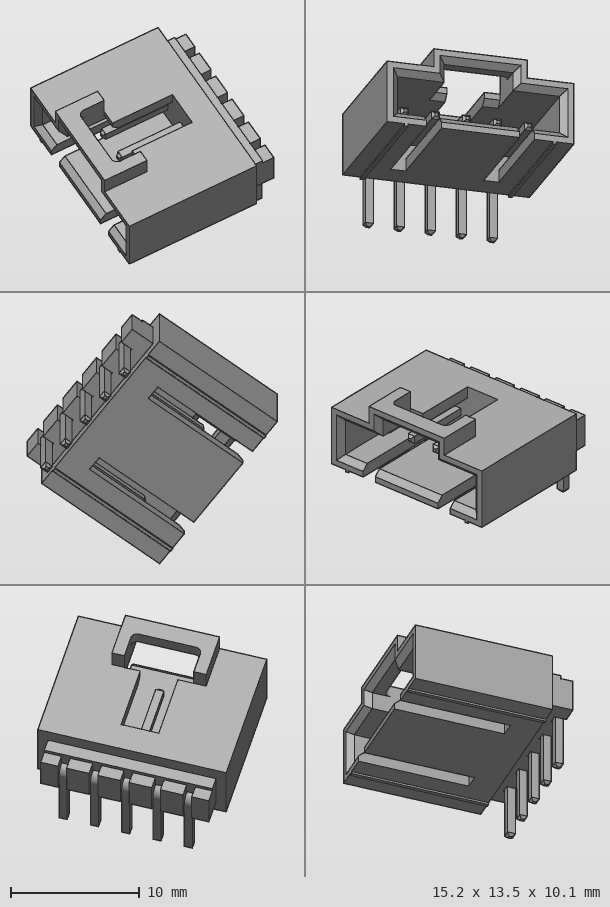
import cadquery as cq


body_width = 15.25
body_depth = 11.47
body_height = 5.1
wall = 1.0
lead_in = wall / 2
cavity_depth = 9.21

hood_width = 7.62
hood_depth = 3.81
hood_top = 6.6
window_front = 1.48
window_corner_radius = 0.5
roof_slot_width = 3.05

floor_slot_x = 3.8
floor_slot_width = 1.24
rail_x = 6.05
rail_width = 0.27
rail_height = 0.18

block_width = 13.6
block_back = 13.5
block_step_y = 12.49
block_top = 4.03
block_step_top = 3.75
notch_width = 0.7

pin_count = 5
pin_pitch = 2.53
pin_size = 0.65
pin_tip_y = 3.39
pin_bottom = -3.49
pin_row_z = 2.56
pin_leg_y = 12.92
tip_inset = 0.2
tip_length = 0.23
bend_radius = 0.76

pin_positions = [(i - (pin_count - 1) / 2) * pin_pitch for i in range(pin_count)]


def block(width, y_range, z_range, x=0.0):
    """Box of the given width centred on x, spanning the Y and Z ranges."""
    (y0, y1), (z0, z1) = y_range, z_range
    return cq.Workplane("XY").box(width, y1 - y0, z1 - z0, centered=(True, False, False)).translate((x, y0, z0))


def opening(margin):
    """Stepped outline of the mating opening, set in by margin from the outside of the shell."""
    side = body_width / 2 - margin
    hood_side = hood_width / 2 - margin
    roof = body_height - margin
    return [
        (-side, margin),
        (side, margin),
        (side, roof),
        (hood_side, roof),
        (hood_side, hood_top - margin),
        (-hood_side, hood_top - margin),
        (-hood_side, roof),
        (-side, roof),
    ]


def make_housing():
    inside_depth = (0, cavity_depth)
    roof_under = body_height - wall
    window_width = hood_width - 2 * wall

    housing = block(body_width, (0, body_depth), (0, body_height))
    housing = housing.union(block(hood_width, (0, hood_depth), (0, hood_top)))

    housing = housing.cut(block(body_width - 2 * wall, inside_depth, (wall, roof_under)))
    housing = housing.cut(block(window_width, (0, hood_depth), (wall, hood_top - wall)))
    bevel = (
        cq.Workplane("XZ")
        .polyline(opening(lead_in))
        .close()
        .workplane(offset=-lead_in)
        .polyline(opening(wall))
        .close()
        .loft(ruled=True)
    )
    housing = housing.cut(bevel)

    window = block(window_width, (window_front, hood_depth), (body_height, hood_top))
    housing = housing.cut(window.edges("|Z and <Y").fillet(window_corner_radius))

    roof_bevel = (
        cq.Workplane("YZ")
        .polyline([
            (hood_depth, roof_under),
            (hood_depth + lead_in, roof_under),
            (hood_depth, roof_under + lead_in),
        ])
        .close()
        .extrude(window_width / 2, both=True)
    )
    housing = housing.cut(roof_bevel)

    housing = housing.cut(block(roof_slot_width, (hood_depth, cavity_depth), (wall, body_height)))

    for side in (-1, 1):
        housing = housing.cut(block(floor_slot_width, inside_depth, (0, wall), side * floor_slot_x))
        housing = housing.union(block(rail_width, (0, body_depth), (-rail_height, wall / 2), side * rail_x))
    return housing


def make_rear_block():
    rear = block(block_width, (cavity_depth, block_step_y), (wall, block_top))
    rear = rear.union(block(block_width, (block_step_y, block_back), (wall, block_step_top)))
    for x in pin_positions:
        rear = rear.cut(block(notch_width, (block_step_y, block_back), (wall, block_step_top), x))
    return rear


def make_tip(workplane):
    """Pyramid-shaped pin end growing from the workplane."""
    end_size = pin_size - 2 * tip_inset
    return (
        workplane.rect(pin_size, pin_size)
        .workplane(offset=tip_length)
        .rect(end_size, end_size)
        .loft(ruled=True)
    )


def make_pin():
    half = pin_size / 2
    contact_start = pin_tip_y + tip_length
    leg_end = pin_bottom + tip_length
    leg_back = pin_leg_y + half

    contact = block(pin_size, (contact_start, leg_back), (pin_row_z - half, pin_row_z + half))
    leg = block(pin_size, (pin_leg_y - half, leg_back), (leg_end, pin_row_z + half))
    pin = contact.union(leg).edges("|X and >Y and >Z").fillet(bend_radius)

    contact_end = cq.Workplane("XZ", origin=(0, contact_start, pin_row_z))
    leg_tip = cq.Workplane("XY", origin=(0, pin_leg_y, leg_end)).transformed(rotate=(180, 0, 0))
    return pin.union(make_tip(contact_end)).union(make_tip(leg_tip))


result = make_housing().union(make_rear_block())
pin = make_pin()
for x in pin_positions:
    result = result.union(pin.translate((x, 0, 0)))